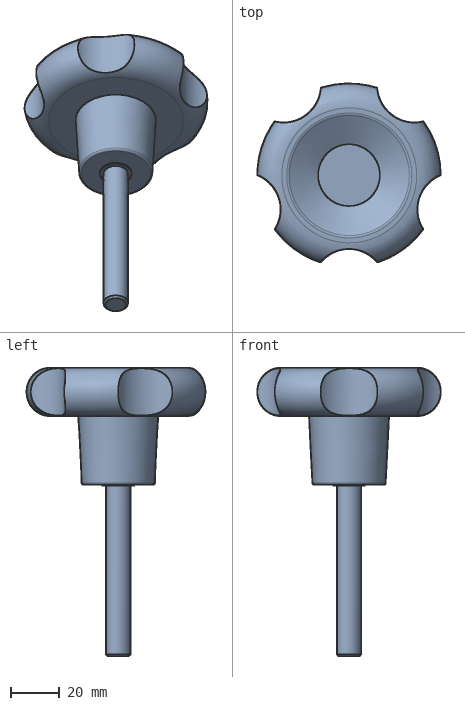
import cadquery as cq
import math

total_height = 118.0
head_height = 20.0
hub_height = 28.0

head_radius = 37.5
rim_radius = head_height / 2
rim_center_radius = head_radius - rim_radius

dish_radius = 25.0
dish_lip_fillet = 2.0
dish_floor_radius = 12.6
dish_depth = 7.1

scallop_count = 5
scallop_radius = 15.1
scallop_floor_radius = 30.2
first_scallop_angle = -90

hub_top_radius = 16.4
hub_bottom_radius = 15.0
hub_fillet = 1.0

collar_radius = 13 / 2
collar_height = 0.5
stud_radius = 10.0 / 2
tip_radius = 8.4 / 2
tip_chamfer = stud_radius - tip_radius

head_top = total_height / 2
head_bottom = head_top - head_height
hub_bottom = head_bottom - hub_height
collar_bottom = hub_bottom - collar_height
stud_bottom = head_top - total_height


def rounded_corner(before, corner, after, radius):
    """Return start, middle and end of the arc that rounds a corner of the section."""
    corner = cq.Vector(*corner)
    to_before = (cq.Vector(*before) - corner).normalized()
    to_after = (cq.Vector(*after) - corner).normalized()
    half_angle = to_before.getAngle(to_after) / 2
    setback = radius / math.tan(half_angle)
    middle_distance = radius / math.sin(half_angle) - radius
    start = corner + to_before * setback
    middle = corner + (to_before + to_after).normalized() * middle_distance
    end = corner + to_after * setback
    return [(point.x, point.y) for point in (start, middle, end)]


def make_body():
    """Revolve the half section of head, hub, collar and stud about Z."""
    collar_corner = (collar_radius, hub_bottom)
    hub_top_corner = (hub_top_radius, head_bottom)
    rim_top = (rim_center_radius, head_top)
    dish_floor_corner = (dish_floor_radius, head_top - dish_depth)
    hub_start, hub_middle, hub_end = rounded_corner(
        collar_corner, (hub_bottom_radius, hub_bottom), hub_top_corner, hub_fillet
    )
    lip_start, lip_middle, lip_end = rounded_corner(
        rim_top, (dish_radius, head_top), dish_floor_corner, dish_lip_fillet
    )
    return (
        cq.Workplane("XZ")
        .moveTo(0, stud_bottom)
        .lineTo(tip_radius, stud_bottom)
        .lineTo(stud_radius, stud_bottom + tip_chamfer)
        .lineTo(stud_radius, collar_bottom)
        .lineTo(collar_radius, collar_bottom)
        .lineTo(*collar_corner)
        .lineTo(*hub_start)
        .threePointArc(hub_middle, hub_end)
        .lineTo(*hub_top_corner)
        .lineTo(rim_center_radius, head_bottom)
        .threePointArc((head_radius, head_bottom + rim_radius), rim_top)
        .lineTo(*lip_start)
        .threePointArc(lip_middle, lip_end)
        .lineTo(*dish_floor_corner)
        .lineTo(0, head_top - dish_depth)
        .close()
        .revolve(360, (0, 0, 0), (0, 1, 0))
    )


def make_scallops():
    """Vertical cylinders, evenly spaced, that cut the finger grips."""
    return (
        cq.Workplane("XY")
        .workplane(offset=head_bottom)
        .polarArray(scallop_floor_radius + scallop_radius, first_scallop_angle, 360, scallop_count)
        .circle(scallop_radius)
        .extrude(head_height)
    )


result = make_body().cut(make_scallops())